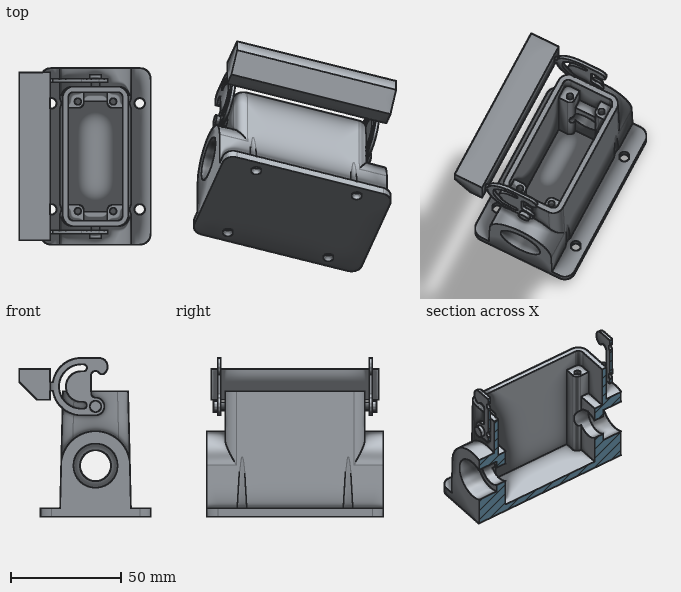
import cadquery as cq
import math

flange_width = 50.0
flange_length = 80.0
flange_thickness = 4.0
flange_corner_radius = 5.0
screw_x = 20.0
screw_y = 24.0
screw_hole_radius = 2.3
screw_head_radius = 4.5

rim_z = 57.0
housing_foot_width = 32.2
housing_rim_width = 29.6
housing_length = 63.2
housing_corner_radius = 5.0
side_taper = math.atan2((housing_foot_width - housing_rim_width) / 2, rim_z - flange_thickness)

wall = 2.5
cavity_width = housing_rim_width - 2 * wall
cavity_length = housing_length - 2 * wall
cavity_corner_radius = housing_corner_radius - wall
cavity_floor_z = flange_thickness
boss_width = 7.0
boss_length = 7.2
boss_corner_radius = 2.5
boss_top_z = 48.3
boss_hole_x = 8.0
boss_hole_y = 24.8
boss_hole_radius = 1.5
boss_hole_depth = 12.0

entry_z = 23.2
entry_hole_radius = 7.0
entry_bore_radius = 10.0
entry_bore_depth = 10.0
entry_pad_depth = 4.2
entry_pad_top_z = entry_z + entry_bore_radius + wall

pivot_z = 50.0
pin_radius = 2.0
pin_head_radius = 2.6
pin_end_y = 37.0
plate_thickness = 1.5
plate_inner_y = 33.5
plate_outer_y = plate_inner_y + plate_thickness
plate_eye_radius = 4.0
bow_x = -6.5
plate_top_z = 72.0
plate_bottom_z = pivot_z - plate_eye_radius
bow_radius = (plate_top_z - plate_bottom_z) / 2
bow_z = plate_bottom_z + bow_radius
slot_outer_radius = 10.0
slot_inner_radius = 7.0
slot_straight = 1.0
notch_radius = pin_radius
notch_z = 64.0
hook_x = 1.5
hook_radius = 4.0
hook_tip_radius = 1.6
handle_length = 76.0
handle_size = 14.0
handle_chamfer = 8.0
overall_width = 59.5
handle_left_x = flange_width / 2 - overall_width
handle_bottom_z = 53.0
link_height = 4.0

BOTH_SIDES = (-1, 1)


def side_x(z):
    """Distance of the leaning side wall from the middle plane at height z."""
    return housing_foot_width / 2 - (z - flange_thickness) * math.tan(side_taper)


def extrude_centred(sketch, length):
    return sketch.extrude(length / 2, both=True)


def make_flange():
    return (
        cq.Workplane("XY")
        .rect(flange_width, flange_length)
        .extrude(flange_thickness)
        .edges("|Z")
        .fillet(flange_corner_radius)
    )


def make_housing():
    outline = (
        cq.Workplane("XZ")
        .moveTo(-side_x(flange_thickness), flange_thickness)
        .lineTo(side_x(flange_thickness), flange_thickness)
        .lineTo(side_x(rim_z), rim_z)
        .lineTo(-side_x(rim_z), rim_z)
        .close()
    )
    corner_edges = "(not #Z) and (not |X) and (not |Y)"
    return extrude_centred(outline, housing_length).edges(corner_edges).fillet(housing_corner_radius)


def make_entry_body():
    """Arched body along the full flange, its arch tangent to the leaning side walls."""
    arch_radius = side_x(entry_z) * math.cos(side_taper)
    tangent_x = arch_radius * math.cos(side_taper)
    tangent_z = entry_z + arch_radius * math.sin(side_taper)
    outline = (
        cq.Workplane("XZ")
        .moveTo(-side_x(flange_thickness), flange_thickness)
        .lineTo(side_x(flange_thickness), flange_thickness)
        .lineTo(tangent_x, tangent_z)
        .threePointArc((0, entry_z + arch_radius), (-tangent_x, tangent_z))
        .close()
    )
    return extrude_centred(outline, flange_length)


def make_cavity():
    """Volume removed from the housing, leaving the corner bosses and entry pads."""
    cavity = (
        cq.Workplane("XY", origin=(0, 0, cavity_floor_z))
        .rect(cavity_width, cavity_length)
        .extrude(rim_z - cavity_floor_z)
        .edges("|Z")
        .fillet(cavity_corner_radius)
    )
    boss_height = boss_top_z - cavity_floor_z
    pad_height = entry_pad_top_z - cavity_floor_z
    for end in BOTH_SIDES:
        pad_y = end * (cavity_length - entry_pad_depth) / 2
        pad = cq.Workplane("XY").box(cavity_width, entry_pad_depth, pad_height, centered=(True, True, False))
        cavity = cavity.cut(pad.translate((0, pad_y, cavity_floor_z)))
        for side in BOTH_SIDES:
            boss_x = side * (cavity_width - boss_width) / 2
            boss_y = end * (cavity_length - boss_length) / 2
            boss = (
                cq.Workplane("XY")
                .box(boss_width, boss_length, boss_height, centered=(True, True, False))
                .translate((boss_x, boss_y, cavity_floor_z))
                .edges(cq.selectors.NearestToPointSelector((0, 0, cavity_floor_z + boss_height / 2)))
                .fillet(boss_corner_radius)
            )
            cavity = cavity.cut(boss)
    return cavity


def make_vertical_holes(half_pitch_x, half_pitch_y, radius, bottom_z, top_z):
    return (
        cq.Workplane("XY", origin=(0, 0, bottom_z))
        .rect(2 * half_pitch_x, 2 * half_pitch_y, forConstruction=True)
        .vertices()
        .circle(radius)
        .extrude(top_z - bottom_z)
    )


def make_entry_holes():
    through_hole = extrude_centred(
        cq.Workplane("XZ", origin=(0, 0, entry_z)).circle(entry_hole_radius), flange_length
    )
    bores = make_end_pair(
        0, entry_z, entry_bore_radius, flange_length / 2 - entry_bore_depth, flange_length / 2
    )
    return through_hole.union(bores)


def make_end_pair(x, z, radius, inner_y, outer_y):
    """Two equal cylinders along Y, mirrored about the middle of the part."""
    cylinder = cq.Workplane("XZ", origin=(x, outer_y, z)).circle(radius).extrude(outer_y - inner_y)
    return cylinder.union(cylinder.mirror("XZ"))


def make_lever_plate():
    """Side plate at the +Y end, from its outer face inwards."""
    face = cq.Workplane("XZ", origin=(0, plate_outer_y, 0))
    eye_top_z = pivot_z + plate_eye_radius
    corner_z = eye_top_z + notch_radius
    diagonal = math.sqrt(0.5)
    hook_z = plate_top_z - hook_radius
    plate = (
        face.moveTo(bow_x, plate_bottom_z)
        .threePointArc((bow_x - bow_radius, bow_z), (bow_x, plate_top_z))
        .lineTo(hook_x, plate_top_z)
        .threePointArc((hook_x + hook_radius, hook_z), (hook_x, hook_z - hook_radius))
        .lineTo(-notch_radius, hook_z - hook_radius)
        .lineTo(-notch_radius, corner_z)
        .threePointArc((-notch_radius * diagonal, corner_z - notch_radius * diagonal), (0, eye_top_z))
        .threePointArc((plate_eye_radius, pivot_z), (0, plate_bottom_z))
        .close()
        .extrude(plate_thickness)
    )
    notch = face.center(0, notch_z).circle(notch_radius).extrude(plate_thickness)
    hook_tip = (notch_radius, plate_inner_y + plate_thickness / 2, notch_z)
    plate = (
        plate.cut(notch)
        .edges(cq.selectors.NearestToPointSelector(hook_tip))
        .fillet(hook_tip_radius)
    )

    slot_end_x = bow_x + slot_straight
    slot_middle_radius = (slot_outer_radius + slot_inner_radius) / 2
    slot_end_radius = (slot_outer_radius - slot_inner_radius) / 2
    slot = (
        face.moveTo(bow_x, bow_z - slot_outer_radius)
        .threePointArc((bow_x - slot_outer_radius, bow_z), (bow_x, bow_z + slot_outer_radius))
        .lineTo(slot_end_x, bow_z + slot_outer_radius)
        .threePointArc(
            (slot_end_x + slot_end_radius, bow_z + slot_middle_radius),
            (slot_end_x, bow_z + slot_inner_radius),
        )
        .lineTo(bow_x, bow_z + slot_inner_radius)
        .threePointArc((bow_x - slot_inner_radius, bow_z), (bow_x, bow_z - slot_inner_radius))
        .lineTo(slot_end_x, bow_z - slot_inner_radius)
        .threePointArc(
            (slot_end_x + slot_end_radius, bow_z - slot_middle_radius),
            (slot_end_x, bow_z - slot_outer_radius),
        )
        .close()
        .extrude(plate_thickness)
    )
    link_start_x = handle_left_x + handle_size
    link_end_x = bow_x - slot_middle_radius - slot_end_radius
    link = (
        face.center((link_start_x + link_end_x) / 2, bow_z)
        .rect(link_end_x - link_start_x, link_height)
        .extrude(plate_thickness)
    )
    return plate.union(link).cut(slot)


def make_handle():
    outline = (
        cq.Workplane("XZ", origin=(handle_left_x, 0, handle_bottom_z))
        .moveTo(handle_chamfer, 0)
        .lineTo(handle_size, 0)
        .lineTo(handle_size, handle_size)
        .lineTo(0, handle_size)
        .lineTo(0, handle_chamfer)
        .close()
    )
    return extrude_centred(outline, handle_length)


def make_lever():
    plate = make_lever_plate()
    shafts = make_end_pair(0, pivot_z, pin_radius, housing_length / 2 - wall / 2, pin_end_y)
    heads = make_end_pair(0, pivot_z, pin_head_radius, plate_outer_y, pin_end_y)
    return make_handle().union(plate).union(plate.mirror("XZ")).union(shafts).union(heads)


body = make_flange().union(make_housing()).union(make_entry_body())
body = body.cut(make_cavity()).cut(make_entry_holes())
body = body.cut(make_vertical_holes(screw_x, screw_y, screw_hole_radius, 0, flange_thickness))
body = body.cut(make_vertical_holes(screw_x, screw_y, screw_head_radius, flange_thickness, rim_z))
body = body.cut(
    make_vertical_holes(boss_hole_x, boss_hole_y, boss_hole_radius, boss_top_z - boss_hole_depth, boss_top_z)
)
result = body.union(make_lever())